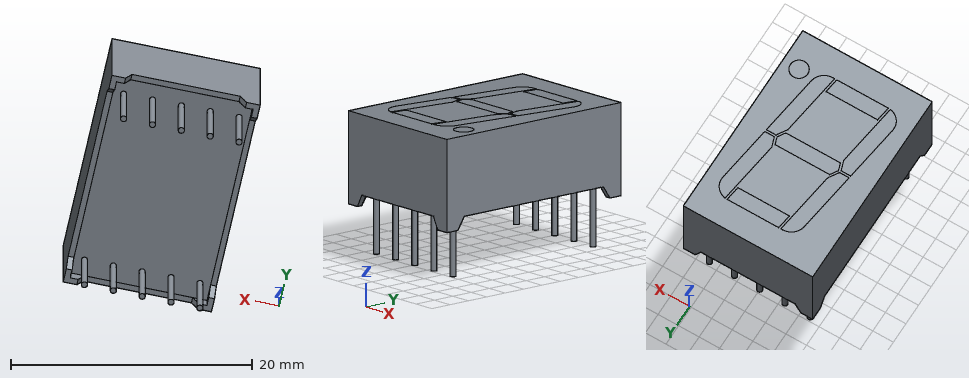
import cadquery as cq
import math

LENGTH_X = 12.6
LENGTH_Y = 19.0
HOUSING_HEIGHT = 8.0
WALL = 0.5
ROOF = 1.0

OPENING_HEIGHT = 1.08
FOOT_TIP_X = 1.15
FOOT_ROOT_X = 1.71
FOOT_TIP_Y = 1.22
FOOT_ROOT_Y = 1.92

PIN_DIAMETER = 0.51
PIN_LENGTH_BELOW_FEET = 4.3
PIN_PITCH = 2.45
PINS_PER_ROW = 5
ROW_SPACING = 15.25

BASE_THICKNESS = 1.52

SLANT = math.tan(math.radians(8.0))
DIGIT_HALF_WIDTH = 4.1
DIGIT_HALF_HEIGHT = 7.09
STROKE = 1.39
GAP = 0.2
MIDDLE_BAR_TIP = 2.98
CHEVRON_RUN = 0.47
CORNER_RADIUS = 1.39

DOT_DIAMETER = 1.7
DOT_X = 4.7
DOT_Y = -6.29

CAVITY_X = LENGTH_X - 2 * WALL
CAVITY_Y = LENGTH_Y - 2 * WALL
ROOF_BOTTOM = HOUSING_HEIGHT - ROOF
BASE_TOP = OPENING_HEIGHT + BASE_THICKNESS
INNER_HALF_WIDTH = DIGIT_HALF_WIDTH - STROKE


def slanted(points):
    """Lean upright digit points to the right."""
    return [(x + SLANT * y, y) for x, y in points]


def roof_prism(points):
    """Prism through the roof with a slanted outline."""
    return cq.Workplane("XY", origin=(0, 0, ROOF_BOTTOM)).polyline(slanted(points)).close().extrude(ROOF)


def digit_envelope():
    """Whole digit as one slanted prism with rounded corners."""
    width = DIGIT_HALF_WIDTH
    height = DIGIT_HALF_HEIGHT
    prism = roof_prism([(-width, -height), (width, -height), (width, height), (-width, height)])
    return prism.edges("|Z").fillet(CORNER_RADIUS)


def horizontal_bar():
    """Top bar of the digit."""
    half_width = INNER_HALF_WIDTH - GAP
    top = DIGIT_HALF_HEIGHT
    bottom = top - STROKE
    return roof_prism([(-half_width, bottom), (half_width, bottom), (half_width, top), (-half_width, top)])


def middle_bar():
    """Middle bar with pointed ends."""
    half_height = STROKE / 2
    shoulder = MIDDLE_BAR_TIP - CHEVRON_RUN * half_height
    return roof_prism([
        (-MIDDLE_BAR_TIP, 0),
        (-shoulder, -half_height),
        (shoulder, -half_height),
        (MIDDLE_BAR_TIP, 0),
        (shoulder, half_height),
        (-shoulder, half_height),
    ])


def upper_side_bar(side):
    """Upper side bar, left for side -1 and right for side +1."""
    chevron_tip = MIDDLE_BAR_TIP + GAP * math.hypot(1, CHEVRON_RUN)
    low = GAP / 2
    foot_inner = chevron_tip - CHEVRON_RUN * low
    chevron_top = (chevron_tip - INNER_HALF_WIDTH) / CHEVRON_RUN
    return roof_prism([
        (side * DIGIT_HALF_WIDTH, low),
        (side * DIGIT_HALF_WIDTH, DIGIT_HALF_HEIGHT),
        (side * INNER_HALF_WIDTH, DIGIT_HALF_HEIGHT),
        (side * INNER_HALF_WIDTH, chevron_top),
        (side * foot_inner, low),
    ])


def lit_areas():
    """Seven segments and the decimal point; the lower half is the upper half turned by 180 degrees."""
    envelope = digit_envelope()
    side_bars = [upper_side_bar(side).intersect(envelope) for side in (-1, 1)]
    upper_half = [horizontal_bar(), *side_bars]
    lower_half = [bar.rotate((0, 0, 0), (0, 0, 1), 180) for bar in upper_half]
    dot = cq.Workplane("XY", origin=(DOT_X, DOT_Y, ROOF_BOTTOM)).circle(DOT_DIAMETER / 2).extrude(ROOF)
    return [*upper_half, *lower_half, middle_bar(), dot]


def foot_opening(plane, housing_width, housing_depth, foot_tip, foot_root):
    """Trapezoidal opening that leaves a tapered foot at each end of a side."""
    half_bottom = housing_width / 2 - foot_tip
    half_top = housing_width / 2 - foot_root
    outline = [(-half_bottom, 0), (half_bottom, 0), (half_top, OPENING_HEIGHT), (-half_top, OPENING_HEIGHT)]
    return cq.Workplane(plane).polyline(outline).close().extrude(housing_depth / 2, both=True)


def cavity_slab(bottom, top):
    """Block that fills the housing cavity between two heights."""
    return cq.Workplane("XY", origin=(0, 0, bottom)).rect(CAVITY_X, CAVITY_Y).extrude(top - bottom)


def make_housing(windows):
    """Shell open at the bottom, with four corner feet and a window for each lit area."""
    housing = cq.Workplane("XY").rect(LENGTH_X, LENGTH_Y).extrude(HOUSING_HEIGHT)
    housing = housing.cut(cavity_slab(0, ROOF_BOTTOM))
    housing = housing.cut(foot_opening("XZ", LENGTH_X, LENGTH_Y, FOOT_TIP_X, FOOT_ROOT_X))
    housing = housing.cut(foot_opening("YZ", LENGTH_Y, LENGTH_X, FOOT_TIP_Y, FOOT_ROOT_Y))
    for window in windows:
        housing = housing.cut(window)
    return housing


def make_light_guide(areas):
    """Filling under the roof, with raised areas that end flush with the top face."""
    light_guide = cavity_slab(BASE_TOP, ROOF_BOTTOM)
    for area in areas:
        light_guide = light_guide.union(area)
    return light_guide


def make_pin_base():
    """Base plate, level with the tops of the foot openings, and its two rows of pins."""
    base = cavity_slab(OPENING_HEIGHT, BASE_TOP)
    pins = (
        cq.Workplane("XY", origin=(0, 0, -PIN_LENGTH_BELOW_FEET))
        .rarray(PIN_PITCH, ROW_SPACING, PINS_PER_ROW, 2)
        .circle(PIN_DIAMETER / 2)
        .extrude(PIN_LENGTH_BELOW_FEET + OPENING_HEIGHT)
    )
    return base.union(pins)


areas = lit_areas()
housing = make_housing(areas)
light_guide = make_light_guide(areas)
pin_base = make_pin_base()

result = cq.Compound.makeCompound([housing.val(), light_guide.val(), pin_base.val()])